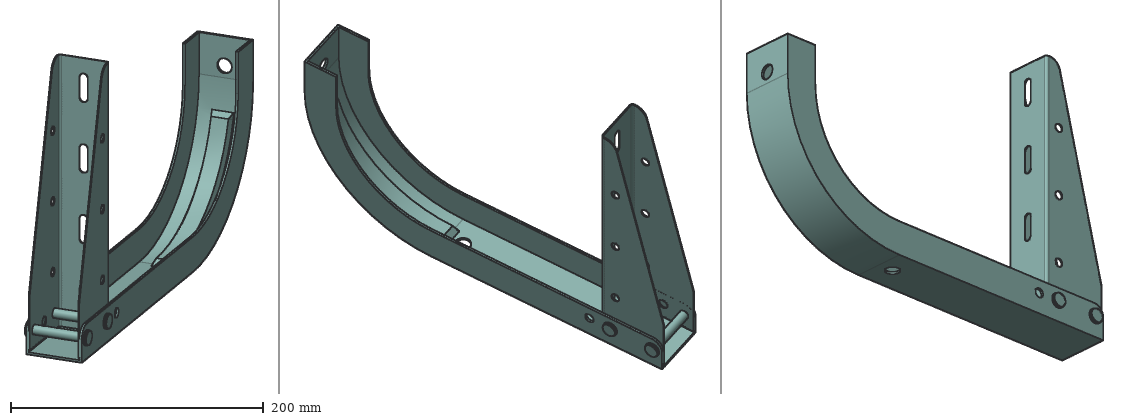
import cadquery as cq
import math


ARM_LENGTH = 340.0
ARM_WIDTH = 48.0
ARM_DEPTH = 30.0
ARM_WALL = 2.0
BEND_RADIUS = 120.0
TIP_HEIGHT = 155.0
ARM_CORNER_RADIUS = 10.0
BEND_Y = ARM_LENGTH - BEND_RADIUS
BEND_Z = BEND_RADIUS

FLOOR_HOLE_DIAMETER = 12.5
FLOOR_HOLE_OFFSET = 15.0
TIP_HOLE_OFFSET = 10.0

BEAD_BASE_WIDTH = 19.0
BEAD_TOP_WIDTH = 15.0
BEAD_HEIGHT = 5.0
BEAD_END_ANGLE = 15.8
BEAD_END_RUN = 5.0

BRACKET_WIDTH = ARM_WIDTH - 2 * ARM_WALL
BRACKET_DEPTH = 59.5
BRACKET_WALL = 1.0
BRACKET_BEND_RADIUS = 2.7
BRACKET_BOTTOM = 3.7
BRACKET_TOP = 234.0
FLANGE_FRONT_HEIGHT = 49.5
FLANGE_TOP_Y = 47.0
FLANGE_TOP_RADIUS = 12.0

PITCH = 60.0
SLOT_WIDTH = 7.0
SLOT_LENGTH = 24.0
SLOT_COUNT = 4
FIRST_SLOT_Z = 29.2
SIDE_HOLE_DIAMETER = 7.0
SIDE_HOLE_COUNT = 3
SIDE_HOLE_Y = 46.0
FIRST_SIDE_HOLE_Z = 54.0

PIN_Z = 18.5
PIN_DIAMETER = 8.0
PIN_HEAD_DIAMETER = 12.0
PIN_COLLAR_DIAMETER = 12.5
PIN_COLLAR_SPAN = 50.5
PIN_LENGTH = 53.0
PIN_STEP = 20.0
FRONT_PIN_Y = 9.0
REAR_PIN_Y = FRONT_PIN_Y + 2 * PIN_STEP
FLANGE_HOLE_Y = FRONT_PIN_Y + PIN_STEP
ARM_HOLE_Y = REAR_PIN_Y + PIN_STEP


def cross_cylinder(diameter, length, y, z):
    """Cylinder along X, centred on the middle plane."""
    return cq.Workplane("YZ").center(y, z).circle(diameter / 2).extrude(length / 2, both=True)


def arm_profile(offset):
    """Band of the arm's side outline, from `offset` inside the underside up to the open edge."""
    diagonal = math.sqrt(0.5)
    outer = BEND_RADIUS - offset
    inner = BEND_RADIUS - ARM_DEPTH
    return (
        cq.Workplane("YZ")
        .moveTo(0, offset)
        .lineTo(BEND_Y, offset)
        .threePointArc(
            (BEND_Y + outer * diagonal, BEND_Z - outer * diagonal),
            (BEND_Y + outer, BEND_Z),
        )
        .lineTo(BEND_Y + outer, TIP_HEIGHT)
        .lineTo(BEND_Y + inner, TIP_HEIGHT)
        .lineTo(BEND_Y + inner, BEND_Z)
        .threePointArc(
            (BEND_Y + inner * diagonal, BEND_Z - inner * diagonal),
            (BEND_Y, ARM_DEPTH),
        )
        .lineTo(0, ARM_DEPTH)
        .close()
    )


def make_arm():
    arm = arm_profile(0).extrude(ARM_WIDTH / 2, both=True)
    front_top_edge = cq.selectors.NearestToPointSelector((0, 0, ARM_DEPTH))
    arm = arm.edges(front_top_edge).fillet(ARM_CORNER_RADIUS)
    arm = arm.cut(arm_profile(ARM_WALL).extrude(BRACKET_WIDTH / 2, both=True))

    floor_hole = (
        cq.Workplane("XY")
        .center(0, BEND_Y - FLOOR_HOLE_OFFSET)
        .circle(FLOOR_HOLE_DIAMETER / 2)
        .extrude(ARM_DEPTH)
    )
    tip_hole = (
        cq.Workplane("XZ", origin=(0, ARM_LENGTH, 0))
        .center(0, BEND_Z + TIP_HOLE_OFFSET)
        .circle(FLOOR_HOLE_DIAMETER / 2)
        .extrude(ARM_DEPTH)
    )
    side_hole = cross_cylinder(PIN_DIAMETER, ARM_WIDTH, ARM_HOLE_Y, PIN_Z)
    return arm.cut(floor_hole).cut(tip_hole).cut(side_hole)


def bead_section():
    """Trapezoid section of the bead at the start of the bend, rooted inside the arm floor."""
    root_z = ARM_WALL / 2
    top_z = ARM_WALL + BEAD_HEIGHT
    return (
        cq.Workplane("XZ", origin=(0, BEND_Y, 0))
        .polyline([
            (-BEAD_BASE_WIDTH / 2, root_z),
            (BEAD_BASE_WIDTH / 2, root_z),
            (BEAD_BASE_WIDTH / 2, ARM_WALL),
            (BEAD_TOP_WIDTH / 2, top_z),
            (-BEAD_TOP_WIDTH / 2, top_z),
            (-BEAD_BASE_WIDTH / 2, ARM_WALL),
        ])
        .close()
    )


def make_bead():
    """Tapered bead following the bend, closed by a sloping face at each end."""
    sweep = 90 - BEAD_END_ANGLE
    end_slope = (
        cq.Workplane("YZ")
        .polyline([
            (BEND_Y - BEAD_END_RUN, 0),
            (BEND_Y - BEAD_END_RUN, ARM_WALL),
            (BEND_Y, ARM_WALL + BEAD_HEIGHT),
            (BEND_Y, 0),
        ])
        .close()
        .extrude(BEAD_BASE_WIDTH / 2, both=True)
    )
    lower_end = bead_section().extrude(BEAD_END_RUN).intersect(end_slope)
    upper_end = lower_end.mirror("XZ", (0, BEND_Y, 0)).rotate(
        (0, BEND_Y, BEND_Z), (1, BEND_Y, BEND_Z), sweep
    )
    bead = bead_section().revolve(sweep, (0, BEND_Z), (1, BEND_Z))
    return bead.union(lower_end).union(upper_end)


def make_bracket():
    blank = (
        cq.Workplane("YZ")
        .polyline([
            (0, BRACKET_BOTTOM),
            (BRACKET_DEPTH, BRACKET_BOTTOM),
            (BRACKET_DEPTH, BRACKET_TOP),
            (FLANGE_TOP_Y, BRACKET_TOP),
            (0, FLANGE_FRONT_HEIGHT),
        ])
        .close()
        .extrude(BRACKET_WIDTH / 2, both=True)
    )
    top_corner = cq.selectors.NearestToPointSelector((0, FLANGE_TOP_Y, BRACKET_TOP))
    blank = blank.edges(top_corner).fillet(FLANGE_TOP_RADIUS)
    blank = blank.edges("|Z and >Y").fillet(BRACKET_BEND_RADIUS)

    inner_width = BRACKET_WIDTH - 2 * BRACKET_WALL
    hollow = (
        cq.Workplane("XY")
        .rect(inner_width, 2 * (BRACKET_DEPTH - BRACKET_WALL))
        .extrude(BRACKET_TOP)
        .edges("|Z and >Y")
        .fillet(BRACKET_BEND_RADIUS - BRACKET_WALL)
    )
    bracket = blank.cut(hollow)

    slot_centres = [(0, FIRST_SLOT_Z + i * PITCH) for i in range(SLOT_COUNT)]
    slots = (
        cq.Workplane("XZ", origin=(0, BRACKET_DEPTH, 0))
        .pushPoints(slot_centres)
        .slot2D(SLOT_LENGTH, SLOT_WIDTH, 90)
        .extrude(2 * BRACKET_WALL)
    )
    bracket = bracket.cut(slots)
    for i in range(SIDE_HOLE_COUNT):
        z = FIRST_SIDE_HOLE_Z + i * PITCH
        bracket = bracket.cut(cross_cylinder(SIDE_HOLE_DIAMETER, BRACKET_WIDTH, SIDE_HOLE_Y, z))
    return bracket.cut(cross_cylinder(PIN_DIAMETER, BRACKET_WIDTH, FLANGE_HOLE_Y, PIN_Z))


def make_pin(y):
    """Pin across the arm with a collar and a slightly smaller head outside each side wall."""
    shank = cross_cylinder(PIN_DIAMETER, PIN_LENGTH, y, PIN_Z)
    heads = cross_cylinder(PIN_HEAD_DIAMETER, PIN_LENGTH, y, PIN_Z)
    collars = cross_cylinder(PIN_COLLAR_DIAMETER, PIN_COLLAR_SPAN, y, PIN_Z)
    inside = cross_cylinder(PIN_COLLAR_DIAMETER, ARM_WIDTH, y, PIN_Z)
    return heads.union(collars).cut(inside).union(shank)


result = make_arm().union(make_bead()).union(make_bracket())
for pin_y in (FRONT_PIN_Y, REAR_PIN_Y):
    result = result.union(make_pin(pin_y))